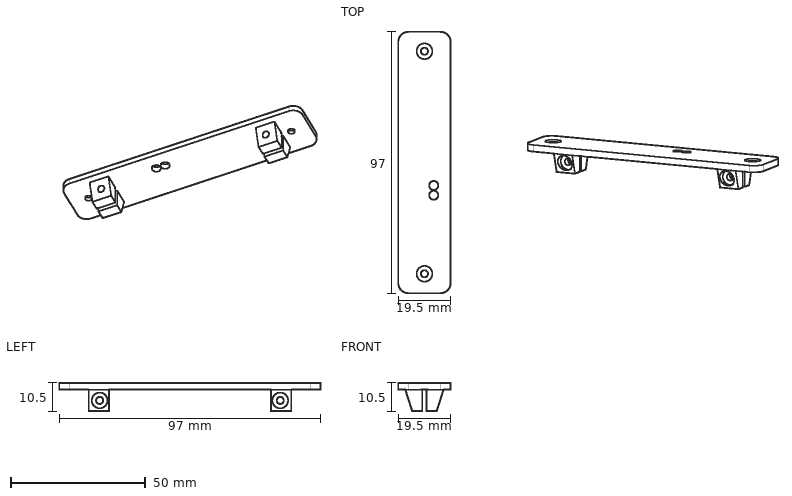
import cadquery as cq

PLATE_WIDTH = 19.5
PLATE_LENGTH = 97.03
TOTAL_HEIGHT = 10.54
PLATE_THICKNESS = 2.54
CORNER_RADIUS = 3.81
LUG_HEIGHT = TOTAL_HEIGHT - PLATE_THICKNESS

SCREW_DIAMETER = 2.54
HEAD_DIAMETER = 5.84
PLATE_SCREW_SPACING = 82.55
PLATE_HEAD_DEPTH = 0.8

PAIR_HOLE_DIAMETER = 3.3
PAIR_HOLE_X = 3.45
PAIR_HOLE_PITCH = 3.6
PAIR_HOLE_MID_Y = -10.32

LUG_LENGTH = 7.62
LUG_SPACING = 67.6
LUG_TOP_WIDTH = 14.25
LUG_BOTTOM_WIDTH = 9.15
LUG_SLOT_WIDTH = 1.5
LUG_SCREW_SPACING = 67.0
LUG_SCREW_DROP = LUG_HEIGHT / 2
LUG_HEAD_SEAT_X = -3.4

SIDES = (-1, 1)


def make_plate():
    """Flat plate with rounded corners, resting on Z = 0."""
    plate = cq.Workplane("XY").box(PLATE_WIDTH, PLATE_LENGTH, PLATE_THICKNESS, centered=(True, True, False))
    return plate.edges("|Z").fillet(CORNER_RADIUS)


def make_lug(end):
    """Tapered lug hanging below the plate, split down the middle by a slot."""
    near_y = end * LUG_SPACING / 2 - LUG_LENGTH / 2
    outline = [
        (-LUG_TOP_WIDTH / 2, 0),
        (LUG_TOP_WIDTH / 2, 0),
        (LUG_BOTTOM_WIDTH / 2, -LUG_HEIGHT),
        (-LUG_BOTTOM_WIDTH / 2, -LUG_HEIGHT),
    ]
    lug = cq.Workplane("XZ", origin=(0, near_y, 0)).polyline(outline).close().extrude(-LUG_LENGTH)
    slot = cq.Workplane("XY").box(LUG_SLOT_WIDTH, LUG_LENGTH, LUG_HEIGHT)
    return lug.cut(slot.translate((0, end * LUG_SPACING / 2, -LUG_HEIGHT / 2)))


def cut_lug_screw(lug, end):
    """Cross hole through both halves, with a flat head recess in the -X flank."""
    axis_y = end * LUG_SCREW_SPACING / 2
    half_width = LUG_TOP_WIDTH / 2
    hole = (
        cq.Workplane("YZ", origin=(-half_width, axis_y, -LUG_SCREW_DROP))
        .circle(SCREW_DIAMETER / 2)
        .extrude(LUG_TOP_WIDTH)
    )
    recess = (
        cq.Workplane("YZ", origin=(-half_width, axis_y, -LUG_SCREW_DROP))
        .circle(HEAD_DIAMETER / 2)
        .extrude(half_width + LUG_HEAD_SEAT_X)
    )
    return lug.cut(hole).cut(recess)


def cut_plate_screws(plate):
    """Counterbored screw hole near each end of the plate."""
    points = [(0, end * PLATE_SCREW_SPACING / 2) for end in SIDES]
    top = plate.faces(">Z").workplane(origin=(0, 0, 0))
    return top.pushPoints(points).cboreHole(SCREW_DIAMETER, HEAD_DIAMETER, PLATE_HEAD_DEPTH)


def cut_hole_pair(plate):
    """Two plain through holes, one behind the other along Y."""
    points = [(PAIR_HOLE_X, PAIR_HOLE_MID_Y + side * PAIR_HOLE_PITCH / 2) for side in SIDES]
    top = plate.faces(">Z").workplane(origin=(0, 0, 0))
    return top.pushPoints(points).hole(PAIR_HOLE_DIAMETER)


result = cut_hole_pair(cut_plate_screws(make_plate()))
for lug_end in SIDES:
    result = result.union(cut_lug_screw(make_lug(lug_end), lug_end))